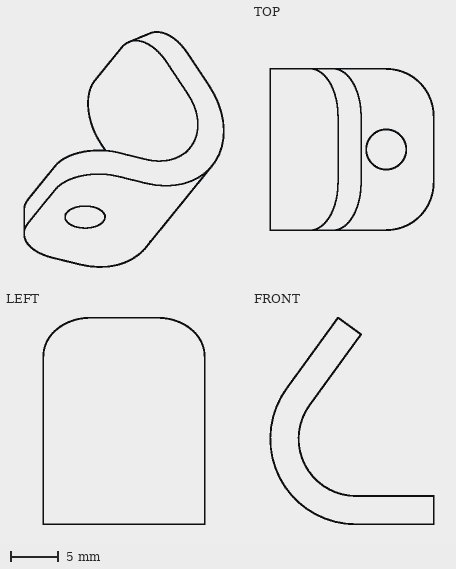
import cadquery as cq
import math

overall_length = 17.21
overall_height = 21.75
width = 17.0
thickness = 3.0
inner_radius = 6.0
arm_angle = 54.0
corner_radius = 5.0
hole_diameter = 4.2
hole_to_end = 5.0

outer_radius = inner_radius + thickness
foot_length = overall_length - outer_radius
slope = math.radians(arm_angle)
arm_start_height = outer_radius * (1 + math.cos(slope))
arm_length = (overall_height - arm_start_height) / math.sin(slope)


def bend_point(radius, angle):
    """Point on a circle about the bend axis, angle in radians from +X."""
    return (radius * math.cos(angle), outer_radius + radius * math.sin(angle))


def along_arm(point):
    """Move a point from the start of the arm to its free end."""
    return (point[0] + arm_length * math.cos(slope), point[1] + arm_length * math.sin(slope))


def bent_strip():
    """Foot, bend and arm as one side profile, extruded across the width."""
    arm_normal = math.pi / 2 + slope
    bend_middle = math.pi
    outer_tangent = bend_point(outer_radius, arm_normal)
    inner_tangent = bend_point(inner_radius, arm_normal)
    return (
        cq.Workplane("XZ")
        .moveTo(foot_length, 0)
        .lineTo(0, 0)
        .threePointArc(bend_point(outer_radius, bend_middle), outer_tangent)
        .lineTo(*along_arm(outer_tangent))
        .lineTo(*along_arm(inner_tangent))
        .lineTo(*inner_tangent)
        .threePointArc(bend_point(inner_radius, bend_middle), (0, thickness))
        .lineTo(foot_length, thickness)
        .close()
        .extrude(width / 2, both=True)
    )


def round_corners(strip):
    """Round the two corners at the free end of both the foot and the arm."""
    arm_direction = cq.Vector(math.cos(slope), 0, math.sin(slope))
    for end_direction in (cq.Vector(1, 0, 0), arm_direction):
        end_face = cq.selectors.DirectionMinMaxSelector(end_direction)
        across_width = cq.selectors.ParallelDirSelector(cq.Vector(0, 1, 0))
        strip = strip.faces(end_face).edges(cq.selectors.InverseSelector(across_width)).fillet(corner_radius)
    return strip


def foot_hole():
    """Cylinder for the mounting hole through the foot."""
    return (
        cq.Workplane("XY")
        .center(foot_length - hole_to_end, 0)
        .circle(hole_diameter / 2)
        .extrude(thickness)
    )


result = round_corners(bent_strip()).cut(foot_hole())